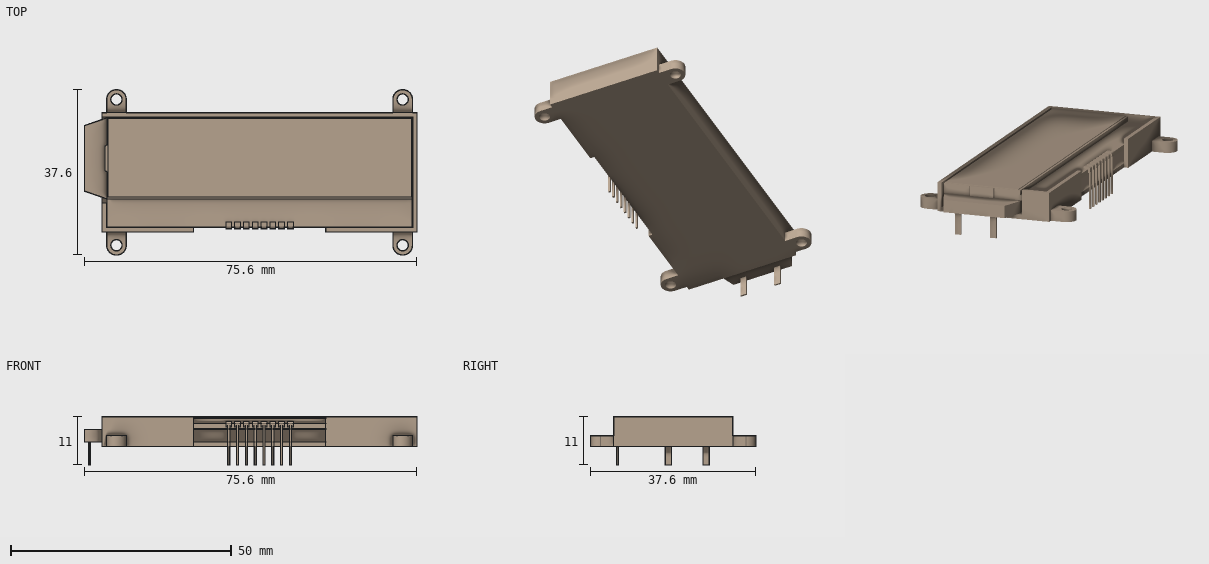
import cadquery as cq

TRAY_LENGTH = 71.6
TRAY_WIDTH = 27.1
TRAY_HEIGHT = 6.8
WALL = 1.0
FLOOR = 1.0
PIN_GAP_LENGTH = 30.0
END_GAP_FRONT = -6.95

EAR_SPACING_X = 65.0
EAR_SPACING_Y = 33.1
EAR_WIDTH = 4.5
EAR_HEIGHT = 2.5
EAR_HOLE_DIAMETER = 2.5

GLASS_CLEARANCE = 0.15
GLASS_THICKNESS = 1.15
POLARIZER_THICKNESS = 0.2
POLARIZER_INSET = 0.2
POLARIZER_FRONT_INSET = 0.5
LEDGE_WIDTH = 6.35
PLUG_WIDTH = 6.1
PLUG_TAPER = 0.25
PLUG_DEPTH = 0.45

GUIDE_THICKNESS = 2.9
TONGUE_OVERHANG = 4.0
TONGUE_TIP_WIDTH = 14.9
LED_LEAD_SPACING = 8.55
LED_LEAD_WIDTH = 1.5
LED_LEAD_THICKNESS = 0.4
LED_LEAD_SETBACK = 0.95

PIN_COUNT = 8
PIN_PITCH = 2.0
PIN_WIDTH = 0.5
PIN_THICKNESS = 0.45
CLIP_WIDTH = 1.3
CLIP_REACH = 1.15
LEAD_TOP_DROP = 0.4
CLIP_BOTTOM_DROP = 0.85
CLIP_EDGE_RADIUS = 0.44
LEAD_END = -4.2

INNER_LEFT = -TRAY_LENGTH / 2 + WALL
INNER_BACK = TRAY_WIDTH / 2 - WALL
GLASS_LEFT = INNER_LEFT + GLASS_CLEARANCE
GLASS_RIGHT = -GLASS_LEFT
GLASS_BACK = INNER_BACK - GLASS_CLEARANCE
GLASS_FRONT = -GLASS_BACK
COVER_FRONT = GLASS_FRONT + LEDGE_WIDTH
COVER_MIDDLE = (COVER_FRONT + GLASS_BACK) / 2
TONGUE_TIP = -TRAY_LENGTH / 2 - TONGUE_OVERHANG

GUIDE_TOP = FLOOR + GUIDE_THICKNESS
GLASS_BOTTOM = GUIDE_TOP + POLARIZER_THICKNESS
LEDGE_TOP = GLASS_BOTTOM + GLASS_THICKNESS
COVER_TOP = LEDGE_TOP + GLASS_THICKNESS

PIN_PLACES = [(i - (PIN_COUNT - 1) / 2) * PIN_PITCH for i in range(PIN_COUNT)]


def block(x_range, y_range, z_range):
    """Box between the given limits."""
    size = [high - low for low, high in (x_range, y_range, z_range)]
    corner = (x_range[0], y_range[0], z_range[0])
    return cq.Workplane("XY").box(*size, centered=False).translate(corner)


def make_tray():
    """Open tray with a pin opening at the front and an end opening for the tongue."""
    tray = block(
        (-TRAY_LENGTH / 2, TRAY_LENGTH / 2), (-TRAY_WIDTH / 2, TRAY_WIDTH / 2), (0, TRAY_HEIGHT)
    )
    cavity_z = (FLOOR, TRAY_HEIGHT)
    tray = tray.cut(block((INNER_LEFT, -INNER_LEFT), (-INNER_BACK, INNER_BACK), cavity_z))
    half_gap = PIN_GAP_LENGTH / 2
    tray = tray.cut(block((-half_gap, half_gap), (-TRAY_WIDTH / 2, -INNER_BACK), (0, TRAY_HEIGHT)))
    return tray.cut(block((-TRAY_LENGTH / 2, INNER_LEFT), (END_GAP_FRONT, INNER_BACK), cavity_z))


def make_ear(x, side):
    """Round-ended ear with a screw hole; side is +1 on the +Y wall and -1 on the -Y wall."""
    tip_y = side * EAR_SPACING_Y / 2
    root_y = side * TRAY_WIDTH / 2
    ear = block(
        (x - EAR_WIDTH / 2, x + EAR_WIDTH / 2), sorted((root_y, tip_y)), (0, EAR_HEIGHT)
    )
    tip = cq.Workplane("XY").center(x, tip_y)
    ear = ear.union(tip.circle(EAR_WIDTH / 2).extrude(EAR_HEIGHT))
    return ear.cut(tip.circle(EAR_HOLE_DIAMETER / 2).extrude(EAR_HEIGHT))


def make_light_guide():
    """Plate below the cover glass, tapering to the LED tongue on the -X side."""
    return (
        cq.Workplane("XY", origin=(0, 0, FLOOR))
        .moveTo(GLASS_RIGHT, COVER_FRONT)
        .lineTo(GLASS_RIGHT, GLASS_BACK)
        .lineTo(GLASS_LEFT, GLASS_BACK)
        .lineTo(TONGUE_TIP, COVER_MIDDLE + TONGUE_TIP_WIDTH / 2)
        .lineTo(TONGUE_TIP, COVER_MIDDLE - TONGUE_TIP_WIDTH / 2)
        .lineTo(GLASS_LEFT, COVER_FRONT)
        .close()
        .extrude(GUIDE_THICKNESS)
    )


def make_led_lead(y):
    """Flat lead hanging from the tongue."""
    x = TONGUE_TIP + LED_LEAD_SETBACK
    return block(
        (x, x + LED_LEAD_THICKNESS),
        (y - LED_LEAD_WIDTH / 2, y + LED_LEAD_WIDTH / 2),
        (LEAD_END, FLOOR),
    )


def make_pin_lead(x):
    """Narrow straight part of a contact pin."""
    return block(
        (x - PIN_WIDTH / 2, x + PIN_WIDTH / 2),
        (GLASS_FRONT - PIN_THICKNESS, GLASS_FRONT),
        (LEAD_END, LEDGE_TOP - LEAD_TOP_DROP),
    )


def make_backlight():
    """Tray, ears, light guide and LED leads in one body, notched where the pins pass the floor."""
    backlight = make_tray().union(make_light_guide())
    for side in (-1, 1):
        for x in (-EAR_SPACING_X / 2, EAR_SPACING_X / 2):
            backlight = backlight.union(make_ear(x, side))
        backlight = backlight.union(make_led_lead(COVER_MIDDLE + side * LED_LEAD_SPACING / 2))
    for x in PIN_PLACES:
        backlight = backlight.cut(make_pin_lead(x))
    return backlight


def make_polarizer(bottom):
    """Thin sheet slightly smaller than the cover glass."""
    return block(
        (GLASS_LEFT + POLARIZER_INSET, GLASS_RIGHT - POLARIZER_INSET),
        (COVER_FRONT + POLARIZER_FRONT_INSET, GLASS_BACK - POLARIZER_INSET),
        (bottom, bottom + POLARIZER_THICKNESS),
    )


def make_plug():
    """Tapered sealing plug on the -X edge of the two glasses."""
    root = PLUG_WIDTH / 2
    tip = root - PLUG_TAPER
    return (
        cq.Workplane("XY", origin=(GLASS_LEFT, COVER_MIDDLE, GLASS_BOTTOM))
        .polyline([(0, -root), (0, root), (-PLUG_DEPTH, tip), (-PLUG_DEPTH, -tip)])
        .close()
        .extrude(COVER_TOP - GLASS_BOTTOM)
    )


def make_lcd():
    """Ledge glass, cover glass, polarizers and sealing plug in one body."""
    across = (GLASS_LEFT, GLASS_RIGHT)
    ledge = block(across, (GLASS_FRONT, GLASS_BACK), (GLASS_BOTTOM, LEDGE_TOP))
    cover = block(across, (COVER_FRONT, GLASS_BACK), (LEDGE_TOP, COVER_TOP))
    lcd = ledge.union(cover).union(make_plug())
    return lcd.union(make_polarizer(GUIDE_TOP)).union(make_polarizer(COVER_TOP))


def make_pin(x):
    """Contact pin: a wide clip hooked over the ledge glass and a narrow lead going down."""
    front = GLASS_FRONT - PIN_THICKNESS
    clip_bottom = LEDGE_TOP - CLIP_BOTTOM_DROP
    clip_x = (x - CLIP_WIDTH / 2, x + CLIP_WIDTH / 2)
    arm_top = LEDGE_TOP + PIN_THICKNESS
    plate = block(clip_x, (front, GLASS_FRONT), (clip_bottom, arm_top))
    arm = block(clip_x, (front, GLASS_FRONT + CLIP_REACH), (LEDGE_TOP, arm_top))
    clip = plate.union(arm).edges("|X and <Y").fillet(CLIP_EDGE_RADIUS)
    return clip.union(make_pin_lead(x))


backlight = make_backlight()
lcd = make_lcd()
pins = [make_pin(x) for x in PIN_PLACES]

result = cq.Compound.makeCompound([backlight.val(), lcd.val(), *[pin.val() for pin in pins]])